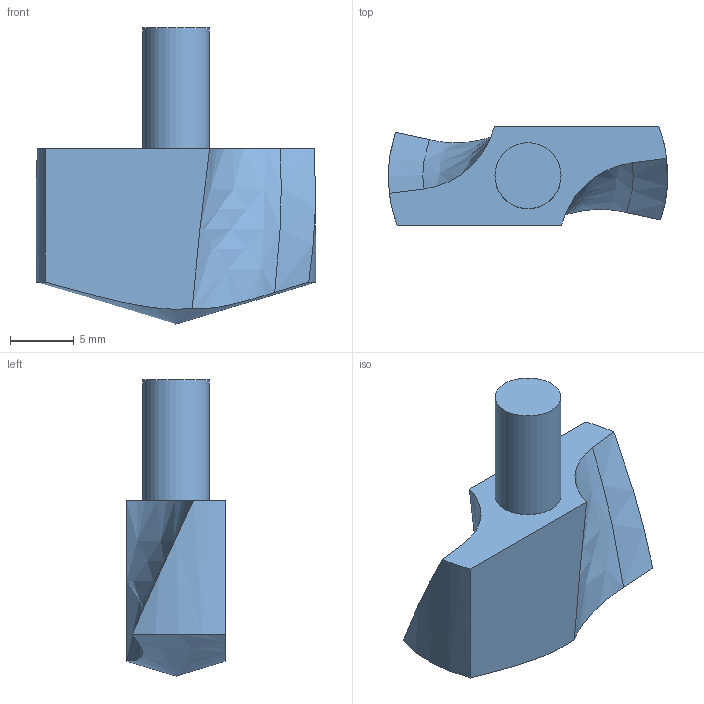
import cadquery as cq
import math

cutter_diameter = 22.0
web_thickness = 7.77
tip_height = 3.3
head_height = 10.5
shank_diameter = 5.2
shank_length = 9.5

helix_angle = 25.0
flute_face_angle = 7.2
flute_floor_start = 8.28
flute_floor_radius = 6.6
cut_margin = 2.0

cutter_radius = cutter_diameter / 2
head_top = tip_height + head_height
twist_angle = math.degrees(head_top * math.tan(math.radians(helix_angle)) / cutter_radius)


def make_head():
    """Pointed round head, cut down to two parallel flats."""
    half_section = [
        (0, 0),
        (cutter_radius, tip_height),
        (cutter_radius, head_top),
        (0, head_top),
    ]
    round_head = cq.Workplane("XZ").polyline(half_section).close().revolve(360, (0, 0, 0), (0, 1, 0))
    slab = cq.Workplane("XY").box(
        cutter_diameter, web_thickness, head_top, centered=(True, True, False)
    )
    return round_head.intersect(slab)


def make_flute():
    """Helical flute: a radial face running tangentially into a round floor."""
    outer_end = cutter_radius + cut_margin
    floor_center_x = flute_floor_start
    floor_center_y = -flute_floor_radius
    arc_reach = flute_floor_radius * math.sqrt(0.5)
    section = (
        cq.Workplane("XY")
        .moveTo(outer_end, 0)
        .lineTo(flute_floor_start, 0)
        .threePointArc(
            (floor_center_x - arc_reach, floor_center_y + arc_reach),
            (floor_center_x - flute_floor_radius, floor_center_y),
        )
        .lineTo(outer_end, floor_center_y)
        .close()
    )
    flute = section.twistExtrude(head_top, twist_angle)
    return flute.rotate((0, 0, 0), (0, 0, 1), flute_face_angle - twist_angle)


def make_shank():
    """Plain cylindrical shank standing on the head."""
    return cq.Workplane("XY").workplane(offset=head_top).circle(shank_diameter / 2).extrude(shank_length)


head = make_head()
flute = make_flute()
for turn in (0, 180):
    head = head.cut(flute.rotate((0, 0, 0), (0, 0, 1), turn))

result = head.union(make_shank())